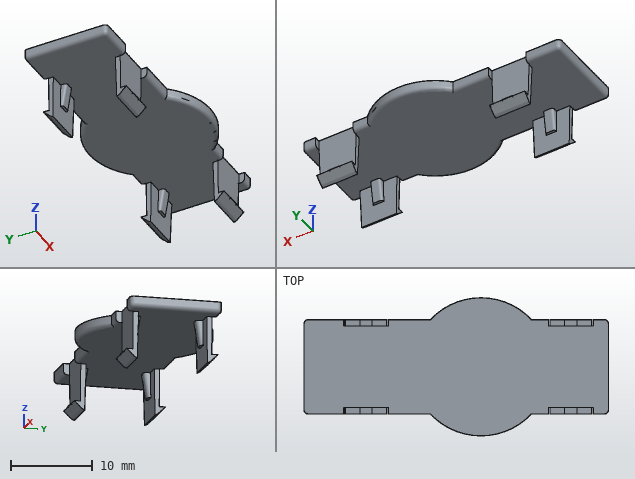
import cadquery as cq

plate_length = 37.2
plate_width = 11.55
plate_thickness = 1.4
edge_radius = 0.52
bulge_radius = 8.45
bulge_offset = 3.0

clip_spacing = 25.0
clip_pair_offset = 1.5
slot_length = 5.43
slot_depth = 0.78

total_height = 7.2
arm_foot_length = 5.02
arm_root_thickness = 0.7
arm_foot_thickness = 0.55

hook_top = -6.1
hook_bevel_width = 0.37
hook_bevel_height = 0.2
hook_pad_length = 1.5
hook_pad_height = 0.07

rib_length = 1.5
rib_bottom = -4.55
rib_root_inset = 1.5
rib_foot_inset = 0.95
rib_edge_radius = 0.35

edge_y = plate_width / 2
arm_outer_y = edge_y - slot_depth
arm_root_y = arm_outer_y - arm_root_thickness
arm_foot_y = arm_outer_y - arm_foot_thickness

clip_centers = [clip_pair_offset + side * clip_spacing / 2 for side in (-1, 1)]


def extrude_along_x(points, length):
    """Extrude a (Y, Z) outline along X, centred on X = 0."""
    return cq.Workplane("YZ").polyline(points).close().extrude(length / 2, both=True)


def make_plate():
    strip = (
        cq.Workplane("XY")
        .box(plate_length, plate_width, plate_thickness, centered=(True, True, False))
        .edges("|Z")
        .fillet(edge_radius)
    )
    bulge = cq.Workplane("XY").center(bulge_offset, 0).circle(bulge_radius).extrude(plate_thickness)
    plate = strip.union(bulge).translate((0, 0, -plate_thickness))
    return plate.faces("<Z").edges().fillet(edge_radius)


def make_slot():
    """Notch through the plate edge on the +Y side."""
    return (
        cq.Workplane("XY")
        .box(slot_length, 2 * slot_depth, 2 * plate_thickness)
        .translate((0, edge_y, 0))
    )


def make_arm():
    """Arm with its hook, trimmed to the taper along X."""
    hook_bevel_top = hook_bevel_height - total_height
    profile = [
        (arm_root_y, 0),
        (arm_outer_y, 0),
        (arm_outer_y, hook_top),
        (edge_y, hook_top),
        (arm_foot_y + hook_bevel_width, hook_bevel_top),
        (arm_foot_y, -total_height),
    ]
    taper_outline = [
        (-slot_length / 2, 0),
        (slot_length / 2, 0),
        (arm_foot_length / 2, -total_height),
        (-arm_foot_length / 2, -total_height),
    ]
    taper = cq.Workplane("XZ").polyline(taper_outline).close().extrude(-plate_width)
    return extrude_along_x(profile, slot_length).intersect(taper)


def make_hook_pad():
    """Slightly raised middle stretch of the hook's upper face."""
    pad_top = hook_top + hook_pad_height
    profile = [
        (arm_foot_y, hook_top),
        (edge_y, hook_top),
        (edge_y, pad_top),
        (arm_foot_y, pad_top),
    ]
    return extrude_along_x(profile, hook_pad_length)


def make_rib():
    """Tapering rib with rounded inner edges."""
    rib_height = -rib_bottom - plate_thickness
    inner_slope = (rib_root_inset - rib_foot_inset) / rib_height
    plate_middle = -plate_thickness / 2
    top_inset = rib_root_inset + inner_slope * plate_thickness / 2
    overlap_y = arm_outer_y - arm_foot_thickness / 2
    profile = [
        (overlap_y, plate_middle),
        (arm_outer_y - top_inset, plate_middle),
        (arm_outer_y - rib_foot_inset, rib_bottom),
        (overlap_y, rib_bottom),
    ]
    rib = extrude_along_x(profile, rib_length)
    return rib.faces("<Y").edges("not |X").fillet(rib_edge_radius)


slot = make_slot()
clip = make_arm().union(make_hook_pad()).union(make_rib())

result = make_plate()
for center_x in clip_centers:
    for turn in (0, 180):
        placed_slot = slot.rotate((0, 0, 0), (0, 0, 1), turn).translate((center_x, 0, 0))
        placed_clip = clip.rotate((0, 0, 0), (0, 0, 1), turn).translate((center_x, 0, 0))
        result = result.cut(placed_slot).union(placed_clip)